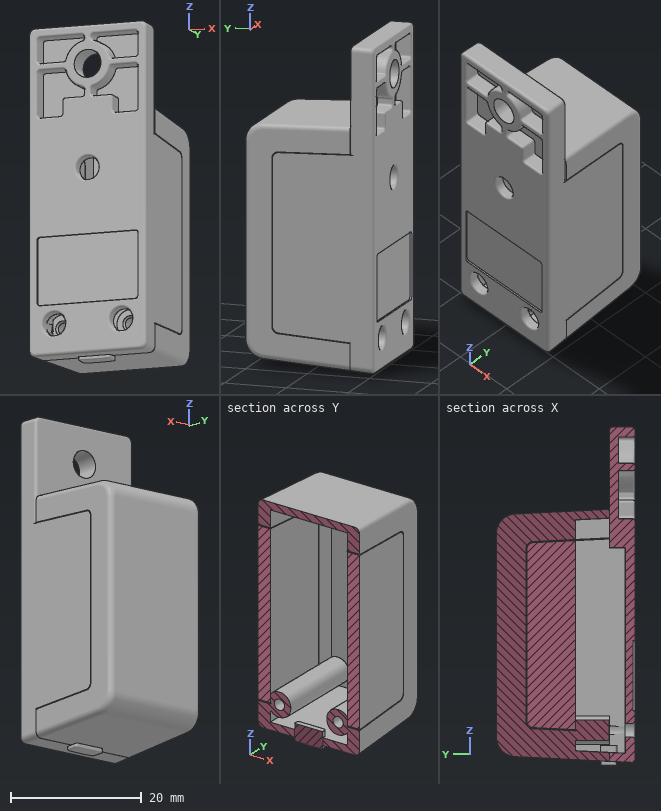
import cadquery as cq
import math

WIDTH = 19.35
DEPTH = 21.2
HEIGHT = 51.75

WALL = 1.4
FRONT_WALL = 1.55
SIDE_WALL = 2.4

CASE_BOTTOM = 0.45
CASE_TOP = 39.4
SIDE_DRAFT = math.tan(math.radians(2.0))
END_DRAFT = math.tan(math.radians(2.8))
CORNER_RADIUS = 1.0
BACK_RADIUS = 3.0
EDGE_FILLET = 0.5

PLATE_DEPTH = 3.95
FLAP_DEPTH = 16.55
FLAP_TOP = 34.7
FLAP_BOTTOM = 5.25
FLAP_GAP = 0.1

TAB_HOLE_DIAMETER = 4.35
TAB_HOLE_Z = 45.65
RING_RADIUS = 3.75
POCKET_DEPTH = PLATE_DEPTH - WALL
POCKET_HALF_RIB = 0.55
POCKET_SIDE = 8.2
POCKET_TOP = 50.2
POCKET_BOTTOM = 37.75
POCKET_CORNER = 0.45
STEP_SIDE = 4.15
STEP_TOP = 40.6
RIM_FILLET = 0.35

FACE_HOLE_DIAMETER = 3.6
CENTRE_HOLE_Z = 29.4
SCREW_X = 5.5
SCREW_Z = 5.45

POST_DIAMETER = 4.35
PILOT_DIAMETER = 1.8
PILOT_CHAMFER = 0.3
PILOT_DEPTH = 6.2

LABEL_WIDTH = 16.45
LABEL_HEIGHT = 10.65
LABEL_Z = 13.75
LABEL_RECESS = 0.3
LABEL_CORNER = 0.45

WINDOW_WIDTH = 5.3
WINDOW_FRONT = 2.8
WINDOW_BACK = 5.3
WINDOW_TOP = 3.1
WINDOW_DOME = 0.05
WINDOW_CORNER = 0.4
WINDOW_EDGE = 0.2


def side_prism(points):
    """Prism along X, wider than the case, from a (Y, Z) outline."""
    return cq.Workplane("YZ").polyline(points).close().extrude(WIDTH, both=True)


def drafted_sides(inset=0.0):
    """Tall block whose two sides lean inwards towards the back."""
    front = WIDTH / 2 - inset
    back = front - SIDE_DRAFT * DEPTH
    outline = [(-front, 0), (front, 0), (back, DEPTH), (-back, DEPTH)]
    return cq.Workplane("XY").polyline(outline).close().extrude(HEIGHT)


def cylinder_along_y(x, z, start, end, diameter):
    """Cylinder along Y between Y = start and Y = end."""
    return cq.Workplane("XZ", origin=(x, start, z)).circle(diameter / 2).extrude(start - end)


def case_bottom(y):
    return CASE_BOTTOM + END_DRAFT * y


def case_top(y):
    return CASE_TOP - END_DRAFT * y


def make_case():
    """Outer form of the closed case, without the tab."""
    outline = [
        (0, case_bottom(0)),
        (DEPTH, case_bottom(DEPTH)),
        (DEPTH, case_top(DEPTH)),
        (0, case_top(0)),
    ]
    case = side_prism(outline).edges("|X and >Y").fillet(BACK_RADIUS)
    case = case.intersect(drafted_sides())
    case = case.faces("<X or >X").edges("not(<Y)").fillet(CORNER_RADIUS)
    return case.faces("<Y").edges().fillet(EDGE_FILLET)


def make_tab():
    """Upper part of the mounting plate, rounded all round, which stands above the flaps."""
    outline = [(0, 0), (PLATE_DEPTH, 0), (PLATE_DEPTH, HEIGHT), (0, HEIGHT)]
    plate = side_prism(outline).intersect(drafted_sides())
    plate = plate.faces("<X or >X").edges(">Z").fillet(CORNER_RADIUS)
    plate = plate.faces("<Y or >Y").edges("not(<Z)").fillet(EDGE_FILLET)
    above_flaps = [(0, FLAP_TOP), (DEPTH, FLAP_TOP), (DEPTH, HEIGHT), (0, HEIGHT)]
    return plate.intersect(side_prism(above_flaps))


def make_base_region(gap=0.0):
    """Part of the case taken by the base: its front and the flaps, enlarged by a gap."""
    taper = END_DRAFT * (FLAP_DEPTH - PLATE_DEPTH)
    front = side_prism([(0, 0), (PLATE_DEPTH, 0), (PLATE_DEPTH, FLAP_TOP), (0, FLAP_TOP)])
    flaps = side_prism(
        [
            (PLATE_DEPTH, FLAP_BOTTOM - gap),
            (FLAP_DEPTH + gap, FLAP_BOTTOM + taper - gap),
            (FLAP_DEPTH + gap, FLAP_TOP - taper + gap),
            (PLATE_DEPTH, FLAP_TOP + gap),
        ]
    )
    return front.union(flaps.edges("|X and >Y").fillet(CORNER_RADIUS + gap))


def make_cavity(front, back, top_front, top_back):
    """Hollow of the case between two Y positions, with the top height at each of them."""
    outline = [
        (front, case_bottom(front) + WALL),
        (back, case_bottom(back) + WALL),
        (back, top_back),
        (front, top_front),
    ]
    return side_prism(outline).intersect(drafted_sides(SIDE_WALL))


def make_plate_cavity():
    top = FLAP_TOP - WALL
    return make_cavity(FRONT_WALL, PLATE_DEPTH, top, top)


def make_case_cavity():
    back = DEPTH - WALL
    return make_cavity(PLATE_DEPTH, back, case_top(PLATE_DEPTH) - WALL, case_top(back) - WALL)


def pocket_block(x_min, x_max, z_min, z_max):
    """Block as deep as the pockets, starting at the mounting face."""
    block = cq.Workplane("XY").box(x_max - x_min, POCKET_DEPTH, z_max - z_min, centered=False)
    return block.translate((x_min, 0, z_min))


def make_pockets():
    """Four pockets around the tab hole, kept apart by a ring and a cross of ribs."""
    ring = cylinder_along_y(0, TAB_HOLE_Z, 0, POCKET_DEPTH, 2 * RING_RADIUS)
    rib_top = TAB_HOLE_Z + POCKET_HALF_RIB
    rib_bottom = TAB_HOLE_Z - POCKET_HALF_RIB
    upper = pocket_block(POCKET_HALF_RIB, POCKET_SIDE, rib_top, POCKET_TOP)
    lower = pocket_block(POCKET_HALF_RIB, POCKET_SIDE, POCKET_BOTTOM, rib_bottom)
    step = pocket_block(0, STEP_SIDE, 0, STEP_TOP)
    right_pockets = [
        upper.cut(ring).edges("|Y").fillet(POCKET_CORNER),
        lower.cut(ring).cut(step).edges("|Y").fillet(POCKET_CORNER),
    ]
    return right_pockets + [pocket.mirror("YZ") for pocket in right_pockets]


def make_face_holes():
    """Centre hole and two screw holes, from the mounting face to the joint plane."""
    places = [(0, CENTRE_HOLE_Z), (-SCREW_X, SCREW_Z), (SCREW_X, SCREW_Z)]
    return [cylinder_along_y(x, z, 0, PLATE_DEPTH, FACE_HOLE_DIAMETER) for x, z in places]


def make_label_recess():
    block = cq.Workplane("XY").box(LABEL_WIDTH, 2 * LABEL_RECESS, LABEL_HEIGHT)
    return block.edges("|Y").fillet(LABEL_CORNER).translate((0, 0, LABEL_Z))


def make_screw_post(x):
    """Post from the joint plane to the back wall, with a chamfered pilot hole in its front."""
    post = cylinder_along_y(x, SCREW_Z, PLATE_DEPTH, DEPTH - WALL, POST_DIAMETER)
    pilot = cylinder_along_y(x, SCREW_Z, PLATE_DEPTH, PLATE_DEPTH + PILOT_DEPTH, PILOT_DIAMETER)
    mouth = post.cut(pilot).faces("<Y").edges(cq.selectors.RadiusNthSelector(0))
    return mouth.chamfer(PILOT_CHAMFER)


def make_window():
    """Light window with a slightly domed outer face."""
    half = WINDOW_WIDTH / 2
    block = (
        cq.Workplane("XZ", origin=(0, WINDOW_FRONT, 0))
        .moveTo(-half, WINDOW_TOP)
        .lineTo(-half, WINDOW_DOME)
        .threePointArc((0, 0), (half, WINDOW_DOME))
        .lineTo(half, WINDOW_TOP)
        .close()
        .extrude(WINDOW_FRONT - WINDOW_BACK)
    )
    return block.edges("|Z").fillet(WINDOW_CORNER).faces("<Z").edges().fillet(WINDOW_EDGE)


def make_base(case, case_cavity, window):
    base = make_tab().union(case.intersect(make_base_region()))
    for opening in make_pockets() + make_face_holes():
        base = base.cut(opening)
    rims = base.faces("<Y").val().innerWires()
    base = base.newObject([edge for rim in rims for edge in rim.Edges()]).fillet(RIM_FILLET)
    base = base.cut(cylinder_along_y(0, TAB_HOLE_Z, 0, PLATE_DEPTH, TAB_HOLE_DIAMETER))
    base = base.cut(make_label_recess())
    base = base.cut(make_plate_cavity()).cut(case_cavity)
    return base.cut(window)


def make_cover(case, case_cavity, window):
    behind_joint = [(PLATE_DEPTH, 0), (DEPTH, 0), (DEPTH, HEIGHT), (PLATE_DEPTH, HEIGHT)]
    cover = case.intersect(side_prism(behind_joint))
    cover = cover.cut(make_base_region(FLAP_GAP)).cut(case_cavity)
    for x in (-SCREW_X, SCREW_X):
        cover = cover.union(make_screw_post(x).intersect(case_cavity))
    return cover.cut(window)


case = make_case()
case_cavity = make_case_cavity()
window = make_window()
base = make_base(case, case_cavity, window)
cover = make_cover(case, case_cavity, window)
result = cq.Compound.makeCompound([base.val(), cover.val(), window.val()])